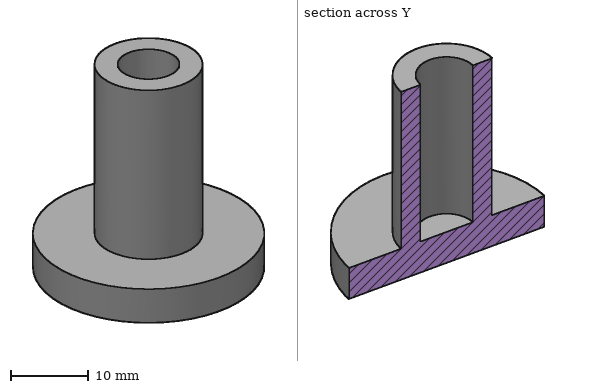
import cadquery as cq

flange_diameter = 30.0
total_height = 30.0
flange_thickness = 5.0
tube_diameter = 14.0
bore_diameter = 8.0

tube_length = total_height - flange_thickness
bore_depth = tube_length

flange = cq.Workplane("XY").circle(flange_diameter / 2).extrude(flange_thickness)

flanged_post = flange.faces(">Z").workplane().circle(tube_diameter / 2).extrude(tube_length)

result = flanged_post.faces(">Z").workplane().hole(bore_diameter, bore_depth)